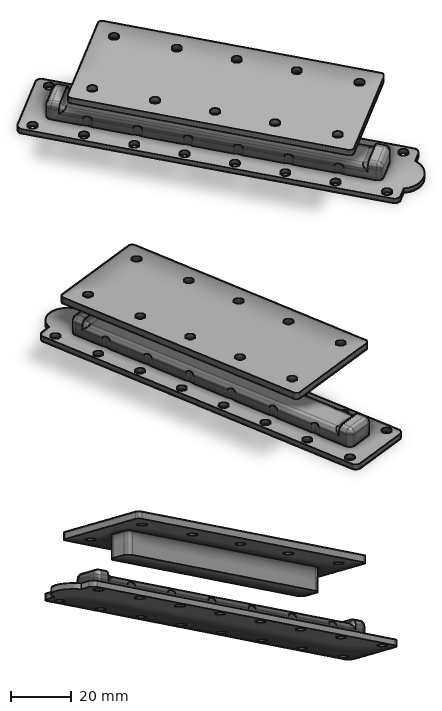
import cadquery as cq
import math

hole_diameter = 3.4
edge_radius = 2.0
total_height = 26.3

base_length = 130.8
base_width = 25.6
base_thickness = 2.0
tab_radius = 7.5
tab_reach = 4.9
tab_center_x = base_length / 2 + tab_reach - tab_radius

rib_length = 115.2
rib_width = 11.4
rib_height = 5.2
block_height = 6.8
block_length = 4.9
saddle_length = rib_length - 2 * block_length
saddle_divisions = 6

base_hole_y = 10.0
inner_hole_count = 6
inner_hole_span = 85.9
inner_hole_pitch = inner_hole_span / (inner_hole_count - 1)
end_hole_x = 60.5
screw_head_radius = 4.6

cover_center_x = 2.7
cover_length = 97.7
cover_width = 39.3
cover_thickness = 2.5
cover_corner_radius = 1.5
cover_hole_y = 13.3
cover_hole_inner_x = 20.5
cover_hole_outer_x = 41.9
plug_length = 82.2
plug_width = 9.5
plug_height = 8.1


def rounded_block(length, width, height, corner_radius, bottom_z):
    """Upright block centred on the Z axis, with rounded vertical edges."""
    return (
        cq.Workplane("XY", origin=(0, 0, bottom_z))
        .rect(length, width)
        .extrude(height)
        .edges("|Z")
        .fillet(corner_radius)
    )


def two_rows(x_places, row_y):
    """Points at every X place in the rows at +row_y and -row_y."""
    return [(x, side * row_y) for x in x_places for side in (1, -1)]


def rib_blank(height):
    """Round-topped block standing on the base plate."""
    blank = rounded_block(rib_length, rib_width, height, edge_radius, base_thickness)
    return blank.faces(">Z").edges().fillet(edge_radius)


def saddle_step(angle):
    """Step between the two rib outlines, along a ray at an angle from vertical.

    The ray starts at the centre of the rounded shoulder of the lowered middle. It leaves the
    end block through its own rounded shoulder or, at steeper angles, through its side wall.
    """
    rise = block_height - rib_height
    if edge_radius * math.cos(angle) > rise * math.sin(angle):
        reach = rise * math.cos(angle) + math.sqrt(edge_radius**2 - (rise * math.sin(angle)) ** 2)
    else:
        reach = edge_radius / math.sin(angle)
    return reach - edge_radius


def saddle_section(angle, shoulder_y):
    """Section of the space beyond a concave round, in a plane along X tilted from vertical.

    The round touches the lowered middle and runs out at the edge of the +X end block.
    """
    step = max(saddle_step(angle), 0)
    touch_x = -math.sqrt(step * (2 * edge_radius - step))
    shoulder_z = base_thickness + rib_height - edge_radius
    outward = math.copysign(math.sin(angle), shoulder_y)
    plane = cq.Plane(
        origin=(saddle_length / 2, shoulder_y, shoulder_z),
        xDir=(1, 0, 0),
        normal=(0, -math.cos(angle), outward),
    )
    inside = edge_radius / 2
    arc_drop = edge_radius * (1 - math.sqrt(0.5))
    return (
        cq.Workplane(plane)
        .moveTo(touch_x, inside)
        .lineTo(touch_x, edge_radius)
        .threePointArc(
            (touch_x + edge_radius - arc_drop, edge_radius + arc_drop),
            (touch_x + edge_radius, 2 * edge_radius),
        )
        .lineTo(touch_x - 2 * edge_radius, 2 * edge_radius)
        .lineTo(touch_x - 2 * edge_radius, inside)
        .close()
        .wire()
        .val()
    )


def make_saddle():
    """Concave round from the lowered middle of the rib up to the +X end block."""
    shoulder_y = rib_width / 2 - edge_radius
    start_x = saddle_length / 2 - edge_radius
    strip_box = cq.Workplane("XY").box(edge_radius, 2 * rib_width, 2 * total_height)
    strip = rib_blank(block_height).intersect(strip_box.translate((start_x + edge_radius / 2, 0, 0)))

    flat = cq.Solid.makeLoft([saddle_section(0, -shoulder_y), saddle_section(0, shoulder_y)], True)
    strip = strip.cut(cq.Workplane(flat))
    angles = [math.pi / 2 * i / saddle_divisions for i in range(saddle_divisions + 1)]
    for side in (1, -1):
        sections = [saddle_section(angle, side * shoulder_y) for angle in angles]
        strip = strip.cut(cq.Workplane(cq.Solid.makeLoft(sections)))
    return strip


def make_rib(nick_points):
    """Rib whose middle is lowered between the end blocks, with nicks along its sides."""
    middle = cq.Workplane("XY").box(saddle_length, 2 * rib_width, 2 * total_height)
    saddle = make_saddle()
    rib = rib_blank(block_height).cut(middle).union(rib_blank(rib_height))
    rib = rib.union(saddle).union(saddle.mirror("YZ"))

    heads = cq.Workplane("XY").pushPoints(nick_points).circle(screw_head_radius).extrude(total_height)
    return rib.cut(heads)


def make_base():
    plate = rounded_block(base_length, base_width, base_thickness, edge_radius, 0)
    tab = cq.Workplane("XY").center(tab_center_x, 0).circle(tab_radius).extrude(base_thickness)

    inner_x = [(i - (inner_hole_count - 1) / 2) * inner_hole_pitch for i in range(inner_hole_count)]
    inner_points = two_rows(inner_x, base_hole_y)
    end_points = two_rows((-end_hole_x, end_hole_x), base_hole_y)
    holes = (
        cq.Workplane("XY")
        .pushPoints(inner_points + end_points)
        .circle(hole_diameter / 2)
        .extrude(base_thickness)
    )
    return plate.union(tab).cut(holes).union(make_rib(inner_points))


def make_cover():
    plate_z = total_height - cover_thickness
    plate = rounded_block(cover_length, cover_width, cover_thickness, cover_corner_radius, plate_z)
    plug = rounded_block(plug_length, plug_width, plug_height, edge_radius, plate_z - plug_height)

    hole_x = (-cover_hole_outer_x, -cover_hole_inner_x, 0, cover_hole_inner_x, cover_hole_outer_x)
    holes = (
        cq.Workplane("XY", origin=(0, 0, plate_z))
        .pushPoints(two_rows(hole_x, cover_hole_y))
        .circle(hole_diameter / 2)
        .extrude(cover_thickness)
    )
    return plate.union(plug).cut(holes).translate((cover_center_x, 0, 0))


base = make_base()
cover = make_cover()
result = cq.Compound.makeCompound([base.val(), cover.val()])